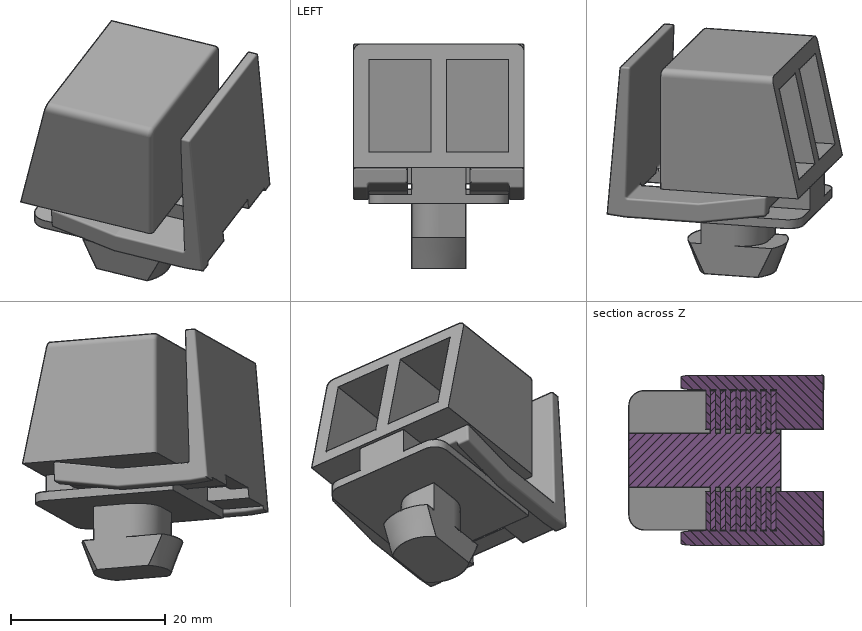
import cadquery as cq
import math


latch_x = 11.0
latch_width = 7.02
head_top_radius = 6.5
head_bottom_radius = 5.0
head_height = 4.0
neck_length = 8.05
neck_height = 4.38

base_start_x = 0.4
base_end_x = 20.05
flange_width = 18.0
flange_thickness = 1.2
flange_corner_radius = 2.0
web_height = 3.48
flange_bottom_z = head_height + neck_height
flange_top_z = flange_bottom_z + flange_thickness
housing_bottom_z = flange_top_z + web_height

total_height = 29.0
total_width = 22.0
housing_end_x = 18.5
housing_front_setback = 3.5
housing_top_radius = 1.0
housing_rear_radius = 0.55
pocket_wall = 2.0
pocket_width = 8.0
pocket_spacing = 2.0

tooth_count = 7
tooth_pitch = 1.3
tooth_height = 0.7
tooth_crest = 0.2
rack_start_x = base_end_x - tooth_count * tooth_pitch

clip_end_x = 25.6
clip_bottom_z = 8.9
arm_top_z = 11.43
arm_tip_top = (4.23, 13.02)
arm_tip_bottom = (4.38, 10.38)
arm_kink_top_x = 13.35
arm_kink_bottom_x = 13.2
wall_inner_bottom_x = 23.0
wall_inner_top_x = 22.45
wall_outer_angle = 5.0
heel_start_x = 23.1
slot_width = 8.0
slot_top_z = 10.93
channel_width = 18.2
channel_rise = 0.6
clip_edge_radius = 0.25

match_tolerance = 0.003

overcut = 1.45


def extruded_along_y(points, width):
    """Solid of the given XZ outline, centred on Y = 0."""
    return cq.Workplane("XZ").polyline(points).close().extrude(width / 2, both=True)


def block(x_range, y_range, z_range):
    """Box between the given limits."""
    lengths = [high - low for low, high in (x_range, y_range, z_range)]
    return (
        cq.Workplane("XY")
        .box(*lengths, centered=False)
        .translate((x_range[0], y_range[0], z_range[0]))
    )


def tooth_points(start_x):
    """Outline points of one ratchet tooth, from the foot of its steep face to its crest's end."""
    crest_z = flange_top_z + tooth_height
    return [
        (start_x, flange_top_z),
        (start_x, crest_z),
        (start_x + tooth_crest, crest_z),
    ]


def rack_points():
    """Upper outline of the whole row of teeth, ending at the foot of the last ramp."""
    points = []
    for index in range(tooth_count):
        points += tooth_points(rack_start_x + index * tooth_pitch)
    return points + [(base_end_x, flange_top_z)]


def make_latch():
    """Conical head with flat sides and a neck rounded on two opposite corners."""
    half_width = latch_width / 2
    head = (
        cq.Workplane("XY")
        .circle(head_bottom_radius)
        .workplane(offset=head_height)
        .circle(head_top_radius)
        .loft(ruled=True)
        .translate((latch_x, 0, 0))
    )
    head_sides = block(
        (latch_x - head_top_radius, latch_x + head_top_radius),
        (-half_width, half_width),
        (0, head_height),
    )
    half_length = neck_length / 2
    neck = block(
        (latch_x - half_length, latch_x + half_length),
        (-half_width, half_width),
        (head_height, flange_bottom_z),
    )
    neck = neck.edges("|Z and <X and >Y").fillet(half_width)
    neck = neck.edges("|Z and >X and <Y").fillet(half_width)
    return head.intersect(head_sides).union(neck)


def make_base():
    """Flange, web and the ratchet teeth on both sides of the web."""
    x_range = (base_start_x, base_end_x)
    flange = block(x_range, (-flange_width / 2, flange_width / 2), (flange_bottom_z, flange_top_z))
    flange = flange.edges("|Z and <X").fillet(flange_corner_radius)
    web = block(x_range, (-latch_width / 2, latch_width / 2), (flange_top_z, housing_bottom_z))
    root = [(base_end_x, flange_bottom_z), (rack_start_x, flange_bottom_z)]
    rack = extruded_along_y(rack_points() + root, flange_width)
    return flange.union(rack).union(web)


def make_shell():
    """Housing block with rounded top and rear edges and two blind pockets."""
    shell = extruded_along_y(
        [
            (0, housing_bottom_z),
            (housing_end_x, housing_bottom_z),
            (housing_end_x, total_height),
            (housing_front_setback, total_height),
        ],
        total_width,
    )
    shell = shell.edges("|X and >Z").fillet(housing_top_radius)
    shell = shell.faces(">X").edges("not <Z").fillet(housing_rear_radius)

    pocket_center_y = (pocket_width + pocket_spacing) / 2
    for side in (-1, 1):
        center_y = side * pocket_center_y
        shell = shell.cut(
            block(
                (-overcut, housing_end_x - pocket_wall),
                (center_y - pocket_width / 2, center_y + pocket_width / 2),
                (housing_bottom_z + pocket_wall, total_height - pocket_wall),
            )
        )
    return shell


def make_housing():
    """Housing, base and latch as one solid."""
    return make_shell().union(make_base()).union(make_latch())


def clip_outline():
    """Side outline of the clip; its heel runs square to the leaning outer wall face."""
    lean = math.tan(math.radians(wall_outer_angle))
    heel_z = clip_bottom_z + (clip_end_x - heel_start_x) * lean
    wall_outer_top_x = clip_end_x - (total_height - heel_z) * lean
    return [
        arm_tip_top,
        arm_tip_bottom,
        (arm_kink_bottom_x, clip_bottom_z),
        (heel_start_x, clip_bottom_z),
        (clip_end_x, heel_z),
        (wall_outer_top_x, total_height),
        (wall_inner_top_x, total_height),
        (wall_inner_bottom_x, arm_top_z),
        (arm_kink_top_x, arm_top_z),
    ]


def channel_outline():
    """Space under the arms for the flange: a slope beside the arm's own, one ramp, then the rack."""
    slope = (arm_tip_bottom[1] - clip_bottom_z) / (arm_kink_bottom_x - arm_tip_bottom[0])
    ramp_slope = tooth_height / (tooth_pitch - tooth_crest)
    slope_z = clip_bottom_z + channel_rise + (arm_kink_bottom_x - rack_start_x) * slope
    ramp_length = (slope_z - flange_top_z) / (ramp_slope - slope)
    ramp_top = (rack_start_x - ramp_length, flange_top_z + ramp_length * ramp_slope)
    start_x = arm_tip_bottom[0] - overcut
    return [
        (start_x, ramp_top[1] + (ramp_top[0] - start_x) * slope),
        ramp_top,
        *rack_points(),
        (clip_end_x + overcut, flange_top_z),
        (clip_end_x + overcut, clip_bottom_z - overcut),
        (start_x, clip_bottom_z - overcut),
    ]


def slot_outline():
    """Space between the arms for the web, running on through the foot of the wall."""
    wall_slope = (wall_inner_top_x - wall_inner_bottom_x) / (total_height - arm_top_z)

    def wall_inner_x(z):
        return wall_inner_bottom_x + (z - arm_top_z) * wall_slope

    return [
        (0, 0),
        (clip_end_x + overcut, 0),
        (clip_end_x + overcut, slot_top_z),
        (wall_inner_x(slot_top_z), slot_top_z),
        (wall_inner_x(housing_bottom_z), housing_bottom_z),
        (0, housing_bottom_z),
    ]


def round_edges(body, is_chosen):
    """Round every edge whose midpoint and "runs along Y" flag satisfy is_chosen."""
    chosen = []
    for edge in body.edges().vals():
        start, end = edge.startPoint(), edge.endPoint()
        along_y = abs(start.y - end.y) > match_tolerance
        if is_chosen(edge.Center(), along_y):
            chosen.append(edge)
    return cq.Workplane(body.val().fillet(clip_edge_radius, chosen))


def is_inner_corner(middle, along_y):
    """Edge where the arms meet the inner face of the wall."""
    at_x = abs(middle.x - wall_inner_bottom_x) < match_tolerance
    at_z = abs(middle.z - arm_top_z) < match_tolerance
    return along_y and at_x and at_z


def is_exposed(middle, along_y):
    """Edges of the outer sides, the wall's top, the arm tips and the channel sides before the teeth."""
    if along_y:
        on_wall_top = middle.z > total_height - match_tolerance
        on_arm_tip = abs(middle.x - arm_tip_bottom[0]) < clip_edge_radius
        return on_wall_top or on_arm_tip
    on_side = abs(abs(middle.y) - total_width / 2) < match_tolerance
    in_channel_side = abs(abs(middle.y) - channel_width / 2) < match_tolerance
    before_teeth = middle.x < rack_start_x - tooth_pitch
    on_bottom = middle.z < (clip_bottom_z + flange_top_z) / 2
    return on_side or (in_channel_side and (before_teeth or on_bottom))


def inner_edge_waste(side):
    """Sliver to remove from one arm to round its tip and top edges along the slot."""
    slot_y = side * slot_width / 2
    arm_end_x = wall_inner_bottom_x - clip_edge_radius
    arm = (
        cq.Workplane("XZ", origin=(0, slot_y, 0))
        .polyline(
            [
                arm_tip_bottom,
                arm_tip_top,
                (arm_kink_top_x, arm_top_z),
                (arm_end_x, arm_top_z),
                (arm_end_x, clip_bottom_z),
                (arm_kink_bottom_x, clip_bottom_z),
            ]
        )
        .close()
        .extrude(-side * (total_width - slot_width) / 2)
    )

    def is_inner_edge(middle, along_y):
        at_slot = not along_y and abs(middle.y - slot_y) < match_tolerance
        on_tip = middle.x < arm_tip_bottom[0]
        on_top = middle.z > arm_top_z - match_tolerance
        return at_slot and (on_tip or on_top)

    return arm.cut(round_edges(arm, is_inner_edge))


def make_clip():
    """Clip with its slot and its toothed channel, rounded along the exposed edges."""
    clip = extruded_along_y(clip_outline(), total_width)
    clip = round_edges(clip, is_inner_corner)
    clip = clip.cut(extruded_along_y(slot_outline(), slot_width))
    clip = clip.cut(extruded_along_y(channel_outline(), channel_width))
    clip = round_edges(clip, is_exposed)
    for side in (-1, 1):
        clip = clip.cut(inner_edge_waste(side))
    return clip


housing = make_housing()
clip = make_clip()
result = cq.Compound.makeCompound([housing.val(), clip.val()])